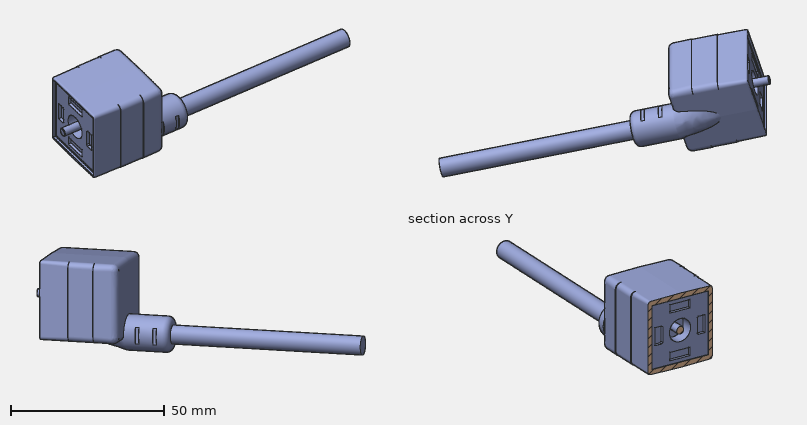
import cadquery as cq
import math

TOTAL_LENGTH = 110.9
TOTAL_HEIGHT = 30.7

HOUSING_DEPTH = 26.8
RIDGE_HEIGHT = 13.4
RIDGE_RISE = 0.2
FLAT_HALF_WIDTH = 11.4
MAX_WIDTH = 27.4
BACK_END_HALF_WIDTH = 13.4
MIDDLE_HALF_WIDTH = 13.3
FRONT_HALF_WIDTHS = (12.5, 12.9)
FRONT_SEAM_Y = 10.0
BACK_SEAM_Y = 18.6
BACK_ROUND = 2.0
RIM_ROUND = 0.5

RECESS_WIDTH = 23.7
RECESS_HEIGHT = 24.3
RECESS_DEPTH = 0.5
RECESS_DRAFT = 40
FACE_WIDTH = 21.8
FACE_HEIGHT = 22.7
FACE_DEPTH = 0.8
WELL_DIAMETER = 8.2
WELL_DEPTH = 4.4
LONG_SLOT_OFFSET = 8.5
SHORT_SLOT_OFFSET = 8.2
SLOT_THICKNESS = 3.0
SLOT_DEPTH = 1.1
LONG_SLOT_LENGTH = 7.9
SHORT_SLOT_LENGTH = 6.4
SHORT_SLOT_CHAMFER = 0.4

PIN_DIAMETER = 2.9
PIN_PROTRUSION = 4.2
PIN_CHAMFER = 0.2

CABLE_DIAMETER = 6.3
SLEEVE_DIAMETER = 12.0
SLEEVE_LENGTH = 15.1
SLEEVE_ROUND = 2.0
NOTCH_WIDTH = 1.2
NOTCH_DEPTH = 0.7
NOTCH_DISTANCES = (4.4, 10.4)
BLEND_LENGTH = 16.6
BLEND_RISE = 4.4

SLEEVE_RADIUS = SLEEVE_DIAMETER / 2
SLEEVE_Z = RIDGE_HEIGHT - TOTAL_HEIGHT + SLEEVE_RADIUS
CABLE_END_Y = TOTAL_LENGTH - PIN_PROTRUSION
SLEEVE_END_Y = HOUSING_DEPTH + SLEEVE_LENGTH


def plane_at(y, z=0.0):
    """Plane whose normal is +Y, with local x to -X and local y to +Z."""
    return cq.Plane(origin=(0, y, z), xDir=(-1, 0, 0), normal=(0, 1, 0))


def rod(diameter, start_y, end_y, z=0.0):
    return cq.Workplane(plane_at(start_y, z)).circle(diameter / 2).extrude(end_y - start_y)


def housing_outline(half_width, y):
    """Square outline with rounded corners and faintly ridged top and bottom."""
    radius = half_width - FLAT_HALF_WIDTH
    flat_z = RIDGE_HEIGHT - RIDGE_RISE
    side_z = flat_z - radius
    mid_x = FLAT_HALF_WIDTH + radius * math.sqrt(0.5)
    mid_z = side_z + radius * math.sqrt(0.5)
    outline = (
        cq.Workplane(plane_at(y))
        .moveTo(half_width, -side_z)
        .lineTo(half_width, side_z)
        .threePointArc((mid_x, mid_z), (FLAT_HALF_WIDTH, flat_z))
        .lineTo(0, RIDGE_HEIGHT)
        .lineTo(-FLAT_HALF_WIDTH, flat_z)
        .threePointArc((-mid_x, mid_z), (-half_width, side_z))
        .lineTo(-half_width, -side_z)
        .threePointArc((-mid_x, -mid_z), (-FLAT_HALF_WIDTH, -flat_z))
        .lineTo(0, -RIDGE_HEIGHT)
        .lineTo(FLAT_HALF_WIDTH, -flat_z)
        .threePointArc((mid_x, -mid_z), (half_width, -side_z))
        .close()
    )
    return outline.wire().val()


def housing_section(half_widths, front_y, back_y):
    """Block between two housing outlines; its sides are drafted where the half widths differ."""
    wires = [housing_outline(width, y) for width, y in zip(half_widths, (front_y, back_y))]
    return cq.Workplane(cq.Solid.makeLoft(wires, True))


def make_housing():
    back_half_widths = (MAX_WIDTH / 2, BACK_END_HALF_WIDTH)
    front = housing_section(FRONT_HALF_WIDTHS, 0, FRONT_SEAM_Y)
    middle = housing_section((MIDDLE_HALF_WIDTH, MIDDLE_HALF_WIDTH), FRONT_SEAM_Y, BACK_SEAM_Y)
    back = housing_section(back_half_widths, BACK_SEAM_Y, HOUSING_DEPTH)
    front = front.faces("<Y").edges().fillet(RIM_ROUND)
    back = back.faces(">Y").edges().fillet(BACK_ROUND)
    return front.union(middle).union(back)


def make_slots():
    """Long slots above and below the pin, short ones with chamfered inner corners beside it."""
    slot_bottom_y = FACE_DEPTH + SLOT_DEPTH
    slots = cq.Workplane()
    for side in (-1, 1):
        long_slot = cq.Workplane("XY").box(LONG_SLOT_LENGTH, slot_bottom_y, SLOT_THICKNESS)
        short_slot = cq.Workplane("XY").box(SLOT_THICKNESS, slot_bottom_y, SHORT_SLOT_LENGTH)
        inner_face = "<X" if side > 0 else ">X"
        short_slot = short_slot.faces(inner_face).edges("|Y").chamfer(SHORT_SLOT_CHAMFER)
        slots = slots.add(long_slot.translate((0, slot_bottom_y / 2, side * LONG_SLOT_OFFSET)))
        slots = slots.add(short_slot.translate((side * SHORT_SLOT_OFFSET, slot_bottom_y / 2, 0)))
    return slots.combine()


def cut_contact_face(housing):
    outer_step = cq.Workplane(plane_at(0)).rect(RECESS_WIDTH, RECESS_HEIGHT)
    outer_step = outer_step.extrude(RECESS_DEPTH, taper=RECESS_DRAFT)
    inner_step = cq.Workplane(plane_at(0)).rect(FACE_WIDTH, FACE_HEIGHT).extrude(FACE_DEPTH)
    well = rod(WELL_DIAMETER, 0, FACE_DEPTH + WELL_DEPTH)
    return housing.cut(outer_step).cut(inner_step).cut(well).cut(make_slots())


def make_pin():
    pin = rod(PIN_DIAMETER, -PIN_PROTRUSION, HOUSING_DEPTH / 2)
    return pin.faces("<Y").chamfer(PIN_CHAMFER)


def make_sleeve():
    sleeve = rod(SLEEVE_DIAMETER, HOUSING_DEPTH, SLEEVE_END_Y, SLEEVE_Z)
    sleeve = sleeve.faces(">Y").edges().fillet(SLEEVE_ROUND)
    for distance in NOTCH_DISTANCES:
        for side in (-1, 1):
            notch = cq.Workplane("XY").box(2 * NOTCH_DEPTH, NOTCH_WIDTH, SLEEVE_DIAMETER)
            centre = (side * SLEEVE_RADIUS, HOUSING_DEPTH + distance, SLEEVE_Z)
            sleeve = sleeve.cut(notch.translate(centre))
    return sleeve


def make_blend():
    """Slanted round bar that runs from the sleeve up into the underside of the housing."""
    ends = (
        (HOUSING_DEPTH - BLEND_LENGTH, SLEEVE_Z + BLEND_RISE),
        (HOUSING_DEPTH, SLEEVE_Z),
    )
    wires = []
    for y, z in ends:
        plane = cq.Plane(origin=(0, y, z), xDir=(0, 0, 1), normal=(0, 1, 0))
        wires.append(cq.Workplane(plane).circle(SLEEVE_RADIUS).val())
    return cq.Workplane(cq.Solid.makeLoft(wires, True))


housing = make_housing().union(make_blend())
housing = cut_contact_face(housing)
cable = rod(CABLE_DIAMETER, HOUSING_DEPTH, CABLE_END_Y, SLEEVE_Z)
result = housing.union(make_sleeve()).union(cable).union(make_pin()).solids()